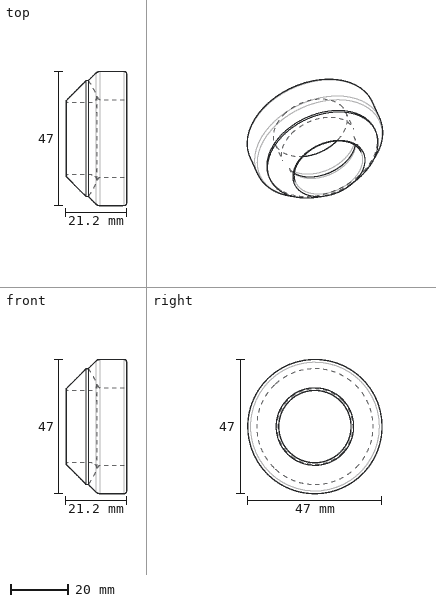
import cadquery as cq
import math

outer_radius = 23.5
total_length = 21.2
bore_radius = 12.6

nose_radius = 13.25
washer_radius = 20.3
washer_cone_end = 7.0
contact_rim = 7.8
nose_round = 0.6
washer_bore_round = 2.0

seat_cone_angle = 45.0
front_round = 1.9
back_round = 1.0
seat_bore_radius = 27.1 / 2
seat_bore_round = 1.0

contact_bore = 11.75
sphere_center = (contact_bore**2 + bore_radius**2 - contact_rim**2 - washer_radius**2) / (
    2 * (contact_bore - contact_rim)
)
sphere_radius = math.hypot(contact_rim - sphere_center, washer_radius)
middle_radius = (bore_radius + washer_radius) / 2
contact_middle = sphere_center + math.sqrt(sphere_radius**2 - middle_radius**2)


def revolve_about_x(profile):
    return profile.close().revolve(360, (0, 0, 0), (1, 0, 0))


def round_edge(body, x, radius, size):
    """Round the circular edge that lies at the given X and radius."""
    margin = 0.05
    corner = (x - margin, -radius - margin, -radius - margin)
    opposite = (x + margin, radius + margin, radius + margin)
    edges = body.edges(cq.selectors.BoxSelector(corner, opposite, boundingbox=True))
    outermost = max(edges.vals(), key=lambda edge: edge.BoundingBox().zlen)
    return body.newObject([outermost]).fillet(size)


def make_washer():
    profile = (
        cq.Workplane("XY")
        .moveTo(0, bore_radius)
        .lineTo(0, nose_radius)
        .lineTo(washer_cone_end, washer_radius)
        .lineTo(contact_rim, washer_radius)
        .threePointArc((contact_middle, middle_radius), (contact_bore, bore_radius))
    )
    washer = revolve_about_x(profile)
    washer = round_edge(washer, 0, bore_radius, nose_round)
    return round_edge(washer, contact_bore, bore_radius, washer_bore_round)


def make_seat():
    contact_end = sphere_center + math.sqrt(sphere_radius**2 - seat_bore_radius**2)
    cone_length = (outer_radius - washer_radius) / math.tan(math.radians(seat_cone_angle))
    cone_end = contact_rim + cone_length
    profile = (
        cq.Workplane("XY")
        .moveTo(contact_end, seat_bore_radius)
        .threePointArc((contact_middle, middle_radius), (contact_rim, washer_radius))
        .lineTo(cone_end, outer_radius)
        .lineTo(total_length, outer_radius)
        .lineTo(total_length, seat_bore_radius)
    )
    seat = revolve_about_x(profile)
    seat = round_edge(seat, cone_end, outer_radius, front_round)
    seat = round_edge(seat, total_length, outer_radius, back_round)
    return round_edge(seat, contact_end, seat_bore_radius, seat_bore_round)


washer = make_washer()
seat = make_seat()
result = cq.Compound.makeCompound([washer.val(), seat.val()])